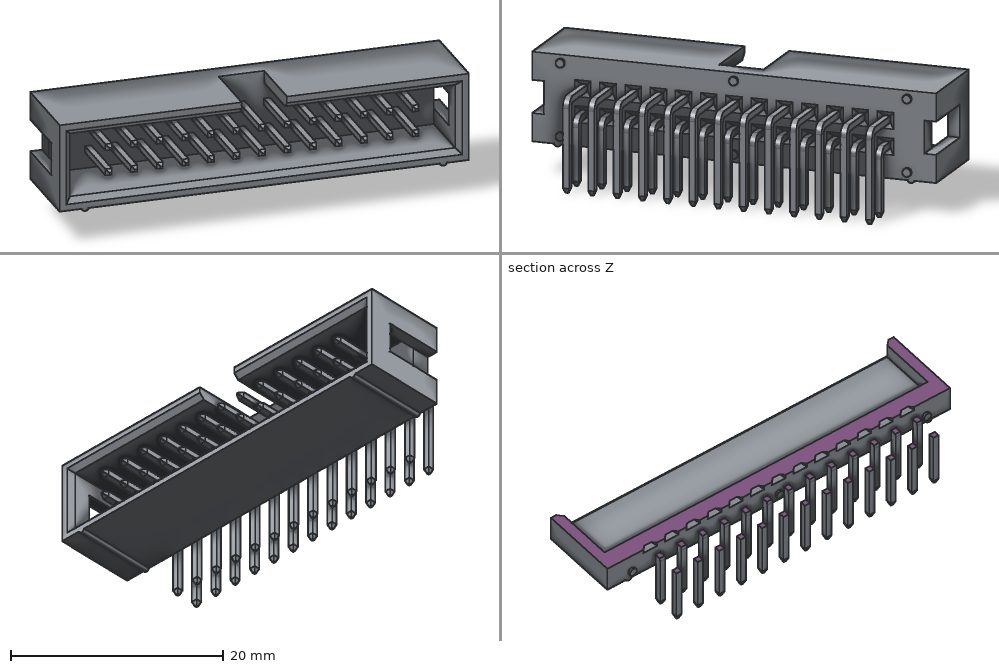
import cadquery as cq
import math


body_depth = 8.8
body_length = 40.68
body_height = 8.8
base_thickness = 2.0
wall = 1.2
mouth_chamfer = 0.55

key_width = 4.5
latch_height = 3.25
latch_reach = 6.35

pins_per_row = 13
pitch = 2.54
pin_width = 0.64
pin_front = 8.6
pin_rear = -4.46
pin_bottom = -7.8
tip_length = 0.5
tip_width = 0.24
bend_inner_radius = 0.4
bend_outer_radius = bend_inner_radius + pin_width

pocket_width = 1.64
pocket_depth = (pocket_width - pin_width) / 2

stud_diameter = 0.85
stud_height = 0.25
stud_spacing = 17.45
stud_edge_distance = 0.8

rib_width = 0.7
rib_height = 0.25
rib_y = 17.8

half_pitch = pitch / 2
half_height = body_height / 2
half_length = body_length / 2
cavity_length = body_length - 2 * wall
cavity_height = body_height - 2 * wall
pin_columns = [(i - (pins_per_row - 1) / 2) * pitch for i in range(pins_per_row)]


def box(x_start, x_end, y_size, z_size):
    """Box between two X positions, centred on Y = 0 and Z = 0."""
    return cq.Workplane("YZ", origin=(x_start, 0, 0)).rect(y_size, z_size).extrude(x_end - x_start)


def square_frustum(normal, start_width, end_width, length):
    """Square taper that starts at the origin and grows along the given axis direction."""
    taper = math.degrees(math.atan((start_width - end_width) / 2 / length))
    plane = cq.Plane(origin=(0, 0, 0), xDir=(0, 1, 0), normal=normal)
    return cq.Workplane(plane).rect(start_width, start_width).extrude(length, taper=taper)


def make_housing():
    """Block with a front cavity whose mouth is chamfered."""
    housing = box(0, body_depth, body_length, body_height)
    housing = housing.cut(box(base_thickness, body_depth, cavity_length, cavity_height))
    mouth = (
        cq.Workplane("YZ", origin=(body_depth, 0, 0))
        .rect(cavity_length + 2 * mouth_chamfer, cavity_height + 2 * mouth_chamfer)
        .extrude(-mouth_chamfer, taper=45)
    )
    return housing.cut(mouth)


def cut_key_notch(housing):
    """Notch through the top wall, open to the front."""
    notch_height = wall + mouth_chamfer
    notch = box(base_thickness, body_depth, key_width, notch_height)
    return housing.cut(notch.translate((0, 0, half_height - notch_height / 2)))


def cut_latch_slots(housing):
    """Slots through the end walls, continued as recesses to the rear face."""
    for side in (-1, 1):
        slot = box(0, latch_reach, wall, latch_height)
        housing = housing.cut(slot.translate((0, side * (half_length - wall / 2), 0)))
    return housing


def cut_pin_pockets(housing):
    """Pyramid-shaped pockets that narrow to the pin section."""
    pocket = square_frustum((1, 0, 0), pocket_width, pin_width, pocket_depth)
    for y in pin_columns:
        for z in (-half_pitch, half_pitch):
            housing = housing.cut(pocket.translate((0, y, z)))
    return housing


def add_studs(housing):
    """Two rows of three round studs on the rear face."""
    stud = cq.Workplane("YZ").circle(stud_diameter / 2).extrude(-stud_height)
    stud_z = half_height - stud_edge_distance
    for y in (-stud_spacing, 0, stud_spacing):
        for z in (-stud_z, stud_z):
            housing = housing.union(stud.translate((0, y, z)))
    return housing


def add_ribs(housing):
    """Low rounded ribs that run the full depth of the underside."""
    rib = (
        cq.Workplane("YZ")
        .moveTo(-rib_width / 2, 0)
        .threePointArc((0, -rib_height), (rib_width / 2, 0))
        .close()
        .extrude(body_depth)
    )
    for side in (-1, 1):
        housing = housing.union(rib.translate((0, side * rib_y, -half_height)))
    return housing


def make_pin(rear_x, row_z):
    """Square bent pin at Y = 0 with tapered tips at both ends."""
    top = row_z + pin_width / 2
    under = row_z - pin_width / 2
    shank_front = pin_front - tip_length
    shank_bottom = pin_bottom + tip_length
    bend_x = rear_x + bend_outer_radius
    bend_z = top - bend_outer_radius
    diagonal = math.sqrt(0.5)
    pin = (
        cq.Workplane("XZ", origin=(0, pin_width / 2, 0))
        .moveTo(shank_front, top)
        .lineTo(bend_x, top)
        .threePointArc(
            (bend_x - bend_outer_radius * diagonal, bend_z + bend_outer_radius * diagonal),
            (rear_x, bend_z),
        )
        .lineTo(rear_x, shank_bottom)
        .lineTo(rear_x + pin_width, shank_bottom)
        .lineTo(rear_x + pin_width, bend_z)
        .threePointArc(
            (bend_x - bend_inner_radius * diagonal, bend_z + bend_inner_radius * diagonal),
            (bend_x, under),
        )
        .lineTo(shank_front, under)
        .close()
        .extrude(pin_width)
    )
    mating_tip = square_frustum((1, 0, 0), pin_width, tip_width, tip_length)
    solder_tip = square_frustum((0, 0, -1), pin_width, tip_width, tip_length)
    pin = pin.union(mating_tip.translate((shank_front, 0, row_z)))
    return pin.union(solder_tip.translate((rear_x + pin_width / 2, 0, shank_bottom)))


def add_pins(housing):
    """Upper row bends down behind the lower row, one pitch further out."""
    upper_pin = make_pin(pin_rear, half_pitch)
    lower_pin = make_pin(pin_rear + pitch, -half_pitch)
    for y in pin_columns:
        housing = housing.union(upper_pin.translate((0, y, 0)))
        housing = housing.union(lower_pin.translate((0, y, 0)))
    return housing


header = make_housing()
header = cut_key_notch(header)
header = cut_latch_slots(header)
header = cut_pin_pockets(header)
header = add_studs(header)
header = add_ribs(header)
result = add_pins(header)